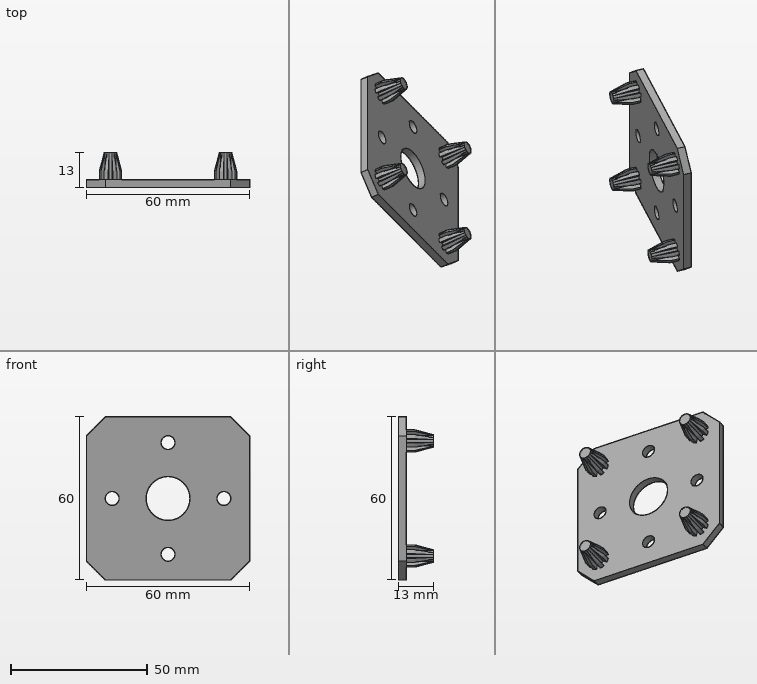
import cadquery as cq
import math

plate_side = 60.0
plate_thickness = 3.0
corner_chamfer = 7.0

center_hole_diameter = 16.0
mount_hole_diameter = 5.0
mount_hole_count = 4
mount_hole_distance = 20.5

peg_offset = 21.125
peg_length = 10.0
peg_straight_length = 3.0
peg_diameter = 8.4
peg_core_diameter = 4.6
groove_count = 8
groove_mouth_width = 1.72
groove_flank_angle = 10.5


def make_plate():
    """Square plate with chamfered corners, one central hole and four mounting holes."""
    plate = (
        cq.Workplane("XZ")
        .rect(plate_side, plate_side)
        .extrude(-plate_thickness)
        .edges("|Y")
        .chamfer(corner_chamfer)
    )
    center_hole = cq.Workplane("XZ").circle(center_hole_diameter / 2).extrude(-plate_thickness)
    mount_holes = (
        cq.Workplane("XZ")
        .polarArray(mount_hole_distance, 0, 360, mount_hole_count)
        .circle(mount_hole_diameter / 2)
        .extrude(-plate_thickness)
    )
    return plate.cut(center_hole).cut(mount_holes)


def make_peg_envelope():
    """Solid of revolution about Y: a straight base, then a taper down to the core diameter."""
    outer_radius = peg_diameter / 2
    tip_radius = peg_core_diameter / 2
    return (
        cq.Workplane("XY")
        .moveTo(0, 0)
        .lineTo(outer_radius, 0)
        .lineTo(outer_radius, peg_straight_length)
        .lineTo(tip_radius, peg_length)
        .lineTo(0, peg_length)
        .close()
        .revolve(360, (0, 0, 0), (0, 1, 0))
    )


def make_groove():
    """Flared groove between two ribs, centered on +X, with flat flanks and the core as its floor."""
    core_radius = peg_core_diameter / 2
    mouth_distance = peg_diameter / 2
    outer_distance = peg_diameter
    flare = math.tan(math.radians(groove_flank_angle))
    axis_half_width = groove_mouth_width / 2 - mouth_distance * flare
    outer_half_width = axis_half_width + outer_distance * flare
    wedge = (
        cq.Workplane("XZ")
        .moveTo(0, -axis_half_width)
        .lineTo(outer_distance, -outer_half_width)
        .lineTo(outer_distance, outer_half_width)
        .lineTo(0, axis_half_width)
        .close()
        .extrude(-peg_length)
    )
    core = cq.Workplane("XZ").circle(core_radius).extrude(-peg_length)
    return wedge.cut(core)


def make_peg():
    """Peg along +Y from y = 0, with grooves cut evenly around it."""
    peg = make_peg_envelope()
    groove = make_groove()
    for index in range(groove_count):
        peg = peg.cut(groove.rotate((0, 0, 0), (0, 1, 0), index * 360 / groove_count))
    return peg


result = make_plate()
peg = make_peg()
for x_side in (-1, 1):
    for z_side in (-1, 1):
        peg_position = (x_side * peg_offset, plate_thickness, z_side * peg_offset)
        result = result.union(peg.translate(peg_position))